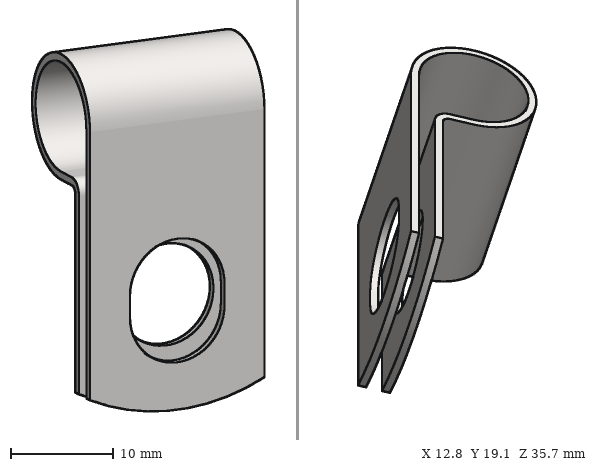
import cadquery as cq

width = 19.05
height = 35.7
loop_diameter = 12.75
thickness = 0.82
leg_gap = 1.6
bend_inner_radius = 0.7
hole_diameter = 10.3
slot_straight = 2.2
hole_height = 11.1
end_arc_rise = 2.15

loop_radius = loop_diameter / 2
loop_inner_radius = loop_radius - thickness
loop_z = height - loop_radius
short_leg_inner_x = loop_inner_radius - leg_gap
gap_middle_x = loop_inner_radius - leg_gap / 2
short_leg_outer_x = short_leg_inner_x - thickness
bend_x = short_leg_outer_x - bend_inner_radius
bend_z = loop_z - loop_radius - bend_inner_radius
bend_outer_radius = bend_inner_radius + thickness


def bent_strip():
    """Sheet section in XZ: long leg, loop, bend and short leg."""
    return (
        cq.Workplane("XZ")
        .moveTo(loop_radius, 0)
        .lineTo(loop_radius, loop_z)
        .threePointArc((0, height), (-loop_radius, loop_z))
        .radiusArc((0, loop_z - loop_radius), -loop_radius)
        .lineTo(bend_x, loop_z - loop_radius)
        .radiusArc((short_leg_outer_x, bend_z), bend_inner_radius)
        .lineTo(short_leg_outer_x, 0)
        .lineTo(short_leg_inner_x, 0)
        .lineTo(short_leg_inner_x, bend_z)
        .radiusArc((bend_x, bend_z + bend_outer_radius), -bend_outer_radius)
        .lineTo(0, loop_z - loop_inner_radius)
        .radiusArc((-loop_inner_radius, loop_z), loop_inner_radius)
        .threePointArc((0, loop_z + loop_inner_radius), (loop_inner_radius, loop_z))
        .lineTo(loop_inner_radius, 0)
        .close()
        .extrude(width / 2, both=True)
    )


def side_envelope():
    """Block across X with the arched lower edge shared by both legs."""
    return (
        cq.Workplane("YZ")
        .moveTo(-width / 2, height)
        .lineTo(-width / 2, end_arc_rise)
        .threePointArc((0, 0), (width / 2, end_arc_rise))
        .lineTo(width / 2, height)
        .close()
        .extrude(loop_diameter, both=True)
    )


def screw_hole():
    """Round cutter across X for the short leg, ending in the gap between the legs."""
    return (
        cq.Workplane("YZ", origin=(gap_middle_x, 0, hole_height))
        .circle(hole_diameter / 2)
        .extrude(-loop_diameter)
    )


def adjustment_slot():
    """Upright slot cutter across X for the long leg, as wide as the round hole."""
    slot_length = slot_straight + hole_diameter
    return (
        cq.Workplane("YZ", origin=(gap_middle_x, 0, hole_height))
        .slot2D(slot_length, hole_diameter, angle=90)
        .extrude(loop_diameter)
    )


result = bent_strip().intersect(side_envelope()).cut(screw_hole()).cut(adjustment_slot())